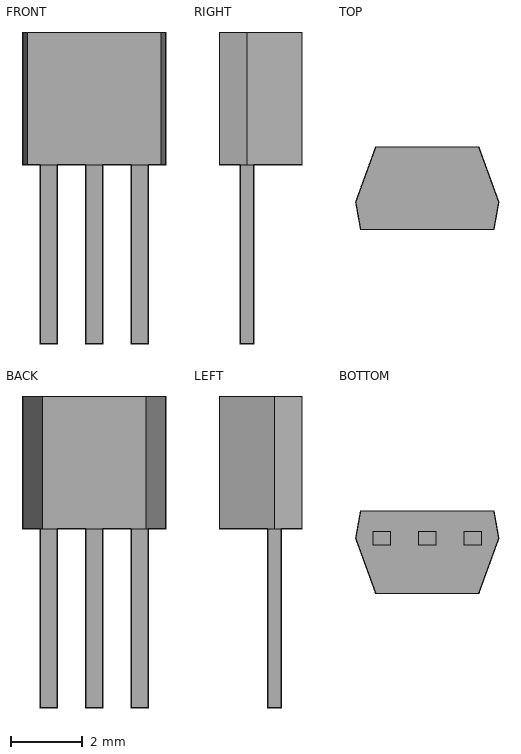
import cadquery as cq
import math

body_width = 4.0
body_height = 3.7
front_depth = 0.77
rear_depth = 1.54
front_draft = 10.0
rear_draft = 20.0

lead_count = 3
lead_pitch = 1.27
lead_width = 0.48
lead_thickness = 0.38
lead_length = 5.0


def make_body():
    """Six-sided body standing on Z = 0."""
    half_width = body_width / 2
    front_half = half_width - front_depth * math.tan(math.radians(front_draft))
    rear_half = half_width - rear_depth * math.tan(math.radians(rear_draft))
    outline = [
        (-front_half, -front_depth),
        (front_half, -front_depth),
        (half_width, 0),
        (rear_half, rear_depth),
        (-rear_half, rear_depth),
        (-half_width, 0),
    ]
    return cq.Workplane("XY").polyline(outline).close().extrude(body_height)


def make_leads():
    """Row of leads along X, centred on the parting plane."""
    return (
        cq.Workplane("XY")
        .rarray(lead_pitch, 1, lead_count, 1)
        .rect(lead_width, lead_thickness)
        .extrude(-lead_length)
    )


result = make_body().union(make_leads())